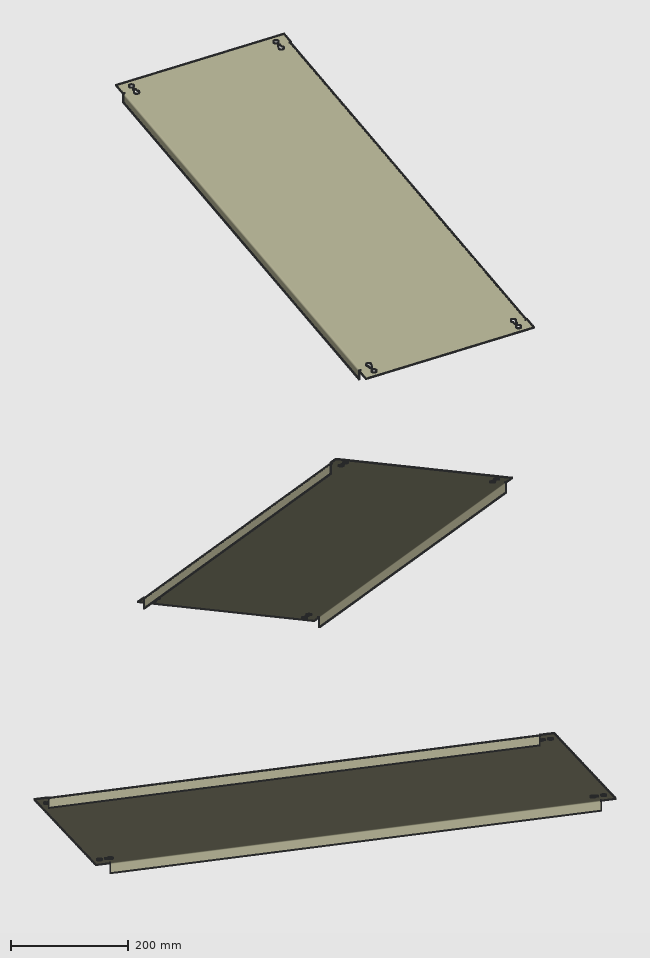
import cadquery as cq

length = 937.5
width = 322.0
height = 20.0
thickness = 1.5

flange_setback = 26.0
flange_length = length - 2 * flange_setback
bend_inner_radius = 2.0
bend_outer_radius = bend_inner_radius + thickness

hole_diameter = 9.0
slot_width = 5.0
outer_hole_inset = 14.0
hole_spacing = 20.0
slot_reach = 9.0
hole_edge_distance = 22.5


def folded_channel():
    """Plate with both long edges folded down, with rounded bends."""
    outer = (
        cq.Workplane("XY")
        .box(flange_length, width, height, centered=(True, True, False))
        .edges("|X and >Z")
        .fillet(bend_outer_radius)
    )
    inner = (
        cq.Workplane("XY")
        .box(flange_length, width - 2 * thickness, height - thickness, centered=(True, True, False))
        .edges("|X and >Z")
        .fillet(bend_inner_radius)
    )
    return outer.cut(inner)


def end_tab(side):
    """Flat full-width strip beyond the flanges; side is -1 or 1 along X."""
    return (
        cq.Workplane("XY")
        .box(flange_setback, width, thickness)
        .translate((side * (length - flange_setback) / 2, 0, height - thickness / 2))
    )


def keyhole_pair(side_x, side_y):
    """Cutter for one corner: two round holes, the inner one with a short slot towards the outer."""
    pair_x = side_x * (length / 2 - outer_hole_inset - hole_spacing / 2)
    pair_y = side_y * (width / 2 - hole_edge_distance)
    plane = cq.Workplane("XY").center(pair_x, pair_y)
    ends = [(-hole_spacing / 2, 0), (hole_spacing / 2, 0)]
    holes = plane.pushPoints(ends).circle(hole_diameter / 2).extrude(height)
    slot_middle = side_x * (slot_reach - hole_spacing) / 2
    slot = plane.center(slot_middle, 0).rect(slot_reach, slot_width).extrude(height)
    return holes.union(slot)


result = folded_channel()
for side_x in (-1, 1):
    result = result.union(end_tab(side_x))
for side_x in (-1, 1):
    for side_y in (-1, 1):
        result = result.cut(keyhole_pair(side_x, side_y))